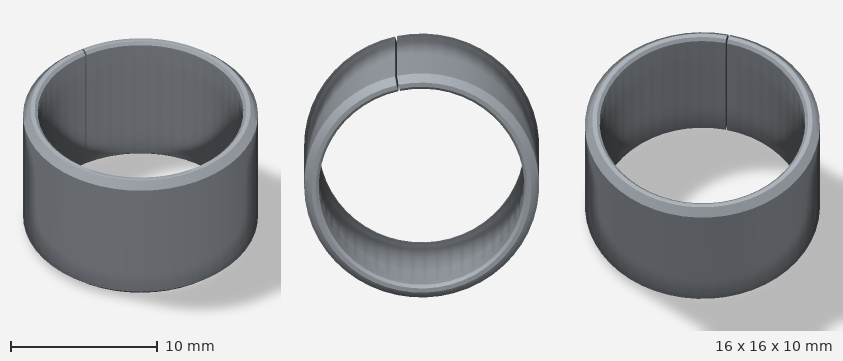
import cadquery as cq

outer_radius = 8.0
wall = 1.0
height = 10.0
outer_chamfer = 0.5
inner_chamfer = 0.2
gap_angle = 1.0

inner_radius = outer_radius - wall


def wall_section():
    """Section of the wall on the -X side of the XZ plane, bevelled at all four corners."""
    return (
        cq.Workplane("XZ")
        .moveTo(-outer_radius, outer_chamfer)
        .lineTo(-outer_radius, height - outer_chamfer)
        .lineTo(-outer_radius + outer_chamfer, height)
        .lineTo(-inner_radius - inner_chamfer, height)
        .lineTo(-inner_radius, height - inner_chamfer)
        .lineTo(-inner_radius, inner_chamfer)
        .lineTo(-inner_radius - inner_chamfer, 0)
        .lineTo(-outer_radius + outer_chamfer, 0)
        .close()
    )


def make_split_ring():
    """Sweep the section counter-clockwise about Z, stopping short to leave the gap on the +Y side of -X."""
    sweep_angle = 360 - gap_angle
    return wall_section().revolve(sweep_angle, (0, 0, 0), (0, 1, 0))


result = make_split_ring()